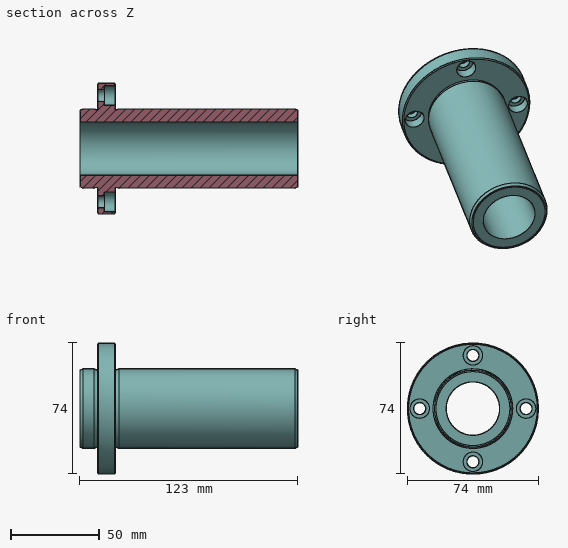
import cadquery as cq
length = 123.0
body_diameter = 45.0
bore_diameter = 30.0
end_chamfer_length = 1.7
end_face_diameter = 43.3

end_recess_diameter = 41.7
end_recess_depth = 0.1

flange_diameter = 74.0
flange_thickness = 10.0
flange_front = 10.0
flange_back = flange_front + flange_thickness
flange_chamfer_length = 0.5
flange_chamfer_height = 0.7

groove_width = 3.0
groove_exposed_width = 2.0
groove_depth = 0.5

hole_count = 4
hole_circle_diameter = 60.0
hole_diameter = 6.6
counterbore_diameter = 11.0
counterbore_depth = 6.2


def cylinder(diameter, start, end):
    """Solid cylinder along X between two X positions."""
    return cq.Workplane("YZ", origin=(start, 0, 0)).circle(diameter / 2).extrude(end - start)


def chamfered_cylinder(diameter, face_diameter, chamfer_length, start, end):
    """Solid cylinder along X with both rims chamfered down to a smaller end face."""
    return (
        cq.Workplane("XY")
        .polyline([
            (start, 0),
            (start, face_diameter / 2),
            (start + chamfer_length, diameter / 2),
            (end - chamfer_length, diameter / 2),
            (end, face_diameter / 2),
            (end, 0),
        ])
        .close()
        .revolve(360, (0, 0, 0), (1, 0, 0))
    )


def make_groove(center):
    """Ring of material removed by an arc-shaped groove centred on an X position."""
    body_radius = body_diameter / 2
    clear_radius = body_radius + groove_depth
    start = center - groove_width / 2
    end = center + groove_width / 2
    return (
        cq.Workplane("XY")
        .moveTo(start, clear_radius)
        .lineTo(start, body_radius)
        .threePointArc((center, body_radius - groove_depth), (end, body_radius))
        .lineTo(end, clear_radius)
        .close()
        .revolve(360, (0, 0, 0), (1, 0, 0))
    )


def make_sleeve():
    """Sleeve with chamfered, shallowly recessed ends and a groove against each flange face."""
    sleeve = chamfered_cylinder(body_diameter, end_face_diameter, end_chamfer_length, 0, length)
    groove_offset = groove_exposed_width - groove_width / 2
    for center in (flange_front - groove_offset, flange_back + groove_offset):
        sleeve = sleeve.cut(make_groove(center))
    for start in (0, length - end_recess_depth):
        sleeve = sleeve.cut(cylinder(end_recess_diameter, start, start + end_recess_depth))
    return sleeve


def make_flange():
    """Flange disc with both rims chamfered and a ring of counterbored holes."""
    flange = chamfered_cylinder(
        flange_diameter,
        flange_diameter - 2 * flange_chamfer_height,
        flange_chamfer_length,
        flange_front,
        flange_back,
    )
    return (
        flange.faces(">X")
        .workplane(origin=(flange_back, 0, 0))
        .polarArray(hole_circle_diameter / 2, 0, 360, hole_count)
        .cboreHole(hole_diameter, counterbore_diameter, counterbore_depth)
    )


result = make_sleeve().union(make_flange()).cut(cylinder(bore_diameter, 0, length))